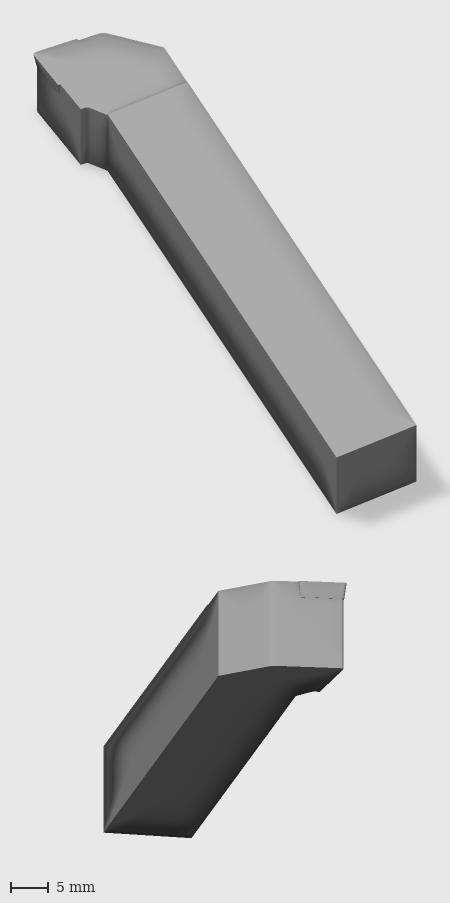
import cadquery as cq
import math

overall_length = 80
shank_side = 12
shank_start = 14.0

head_drop = 0.2
head_top = shank_side - head_drop
ramp_run = 0.2

tip_y = -4
edge_lean = math.radians(5)
insert_edge = 6.5
insert_thickness = 2.2
insert_relief = 7
insert_nose_radius = 0.4

flank_setback = 0.3
head_nose_radius = 0.4
back_chamfer_end_x = 7.2
back_round_radius = 1.9
heel_x = 11.4
heel_height = 1.0
heel_fillet_radius = 0.6


def rhombus_corner(setback):
    """Sharp corner of the two leaning edges, set back from the cutting edges."""
    sharp = insert_nose_radius * (1 - 1 / (math.cos(edge_lean) - math.sin(edge_lean)))
    step = setback / (math.cos(edge_lean) - math.sin(edge_lean))
    return sharp + step, tip_y + sharp + step


def make_insert():
    """Tapered rhombic plate, largest at its top face."""
    x, y = rhombus_corner(0)
    along = insert_edge * math.cos(edge_lean)
    across = insert_edge * math.sin(edge_lean)
    outline = [
        (x, y),
        (x + along, y + across),
        (x + along + across, y + along + across),
        (x + across, y + along),
    ]
    top_plane = cq.Workplane("XY", origin=(0, 0, head_top))
    plate = top_plane.polyline(outline).close().extrude(-insert_thickness, taper=insert_relief)
    nose = cq.selectors.NearestToPointSelector((x, y, head_top - insert_thickness / 2))
    return plate.edges("not #Z").edges(nose).fillet(insert_nose_radius)


def make_head():
    """Cranked head with rounded nose and back corner and a filleted heel."""
    nose_x, nose_y = rhombus_corner(flank_setback)
    lean = math.tan(edge_lean)
    chamfer_offset = shank_side - back_chamfer_end_x
    back_y = (nose_x - lean * nose_y + chamfer_offset) / (1 - lean)
    back = (back_y - chamfer_offset, back_y)
    nose = (nose_x, nose_y)
    heel_y = nose_y + (heel_x - nose_x) * lean
    heel_inside = (heel_x + heel_height * lean, heel_y + heel_height)
    outline = [
        nose,
        (heel_x, heel_y),
        heel_inside,
        (shank_start, 0),
        (shank_start, shank_side),
        (back_chamfer_end_x, shank_side),
        back,
    ]
    head = cq.Workplane("XY").polyline(outline).close().extrude(head_top)
    rounded_corners = [
        (nose, head_nose_radius),
        (heel_inside, heel_fillet_radius),
        (back, back_round_radius),
    ]
    for (x, y), radius in rounded_corners:
        corner = cq.selectors.NearestToPointSelector((x, y, head_top / 2))
        head = head.edges("|Z").edges(corner).fillet(radius)
    return head


def make_ramp():
    """Small wedge rising from the head top to the shank top."""
    profile = [
        (shank_start - ramp_run, head_top),
        (shank_start, head_top),
        (shank_start, shank_side),
    ]
    ramp = cq.Workplane("XZ").polyline(profile).close().extrude(-shank_side)
    return ramp


def make_holder(insert):
    """Shank, ramp and head as one solid, with a pocket fitting the insert."""
    shank_length = overall_length - shank_start
    shank = cq.Workplane("XY", origin=(shank_start, 0, 0)).box(
        shank_length, shank_side, shank_side, centered=False
    )
    return shank.union(make_head()).union(make_ramp()).cut(insert)


insert = make_insert()
holder = make_holder(insert)

result = cq.Compound.makeCompound([*holder.solids().vals(), insert.val()])